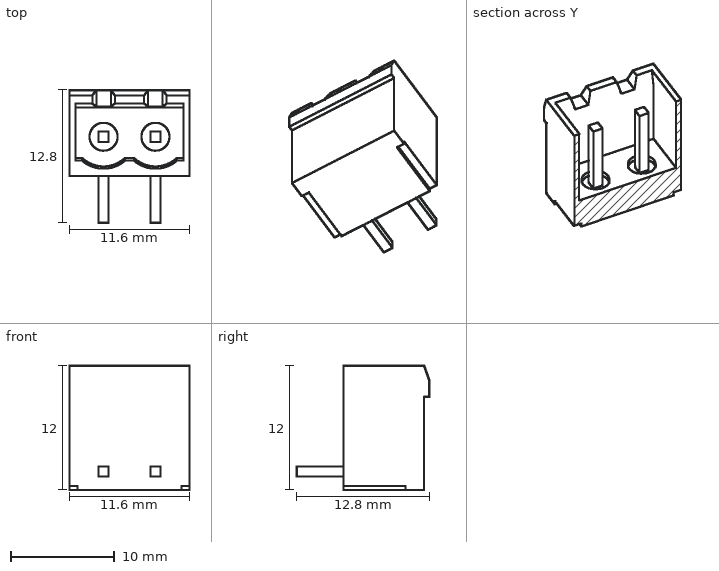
import cadquery as cq
import math


pitch = 5.0
contact_count = 2
end_margin = 3.3
pin_width = 1.0
pin_tail_length = 4.5
pin_tail_z = 1.8
pin_axis_y = 3.8
pin_tip_z = 10.3

housing_length = (contact_count - 1) * pitch + 2 * end_margin
housing_depth = 7.8
housing_height = 12.0

ledge_projection = 0.5
ledge_height = 3.0
ledge_chamfer_height = 1.4

end_wall = 0.575
back_wall_at_rim = 0.8
back_lead_in = 0.36
lead_in_height = 1.65
front_wall_at_rim = 1.52
front_lead_in = 0.22
floor_z = 3.5
scallop_radius = 3.08

recess_radius = 1.35
recess_depth = 0.5

notch_depth = ledge_chamfer_height
notch_floor_width = 1.4
notch_rim_width = 2.16

slot_width = 0.8
slot_length = 6.0
slot_height = 0.4

contact_xs = [(i - (contact_count - 1) / 2) * pitch for i in range(contact_count)]
back_lip_y = housing_depth + ledge_projection
cavity_back_y = housing_depth - back_wall_at_rim - back_lead_in
cavity_half_length = housing_length / 2 - end_wall


def prism_along_x(points, length):
    """Extrude a (y, z) outline to a length centred on X = 0."""
    return cq.Workplane("YZ").polyline(points).close().extrude(length / 2, both=True)


def box_between(x_range, y_range, z_range):
    """Box from its limits on each axis."""
    (x0, x1), (y0, y1), (z0, z1) = x_range, y_range, z_range
    return cq.Workplane("XY").box(x1 - x0, y1 - y0, z1 - z0, centered=False).translate((x0, y0, z0))


def housing_block():
    """Block with the latching ledge overhanging the back face."""
    ledge_z = housing_height - ledge_height
    return prism_along_x(
        [
            (0, 0),
            (0, housing_height),
            (housing_depth, housing_height),
            (back_lip_y, housing_height - ledge_chamfer_height),
            (back_lip_y, ledge_z),
            (housing_depth, ledge_z),
            (housing_depth, 0),
        ],
        housing_length,
    )


def cavity_outline(work, front_inset):
    """Cavity section: straight on three sides, a round scallop in the front side at each contact."""
    front_y = front_wall_at_rim + front_inset
    scallop_bottom_y = pin_axis_y - scallop_radius + front_inset
    scallop_half_chord = math.sqrt(scallop_radius**2 - (pin_axis_y - front_wall_at_rim) ** 2)
    outline = work.moveTo(-cavity_half_length, cavity_back_y).lineTo(-cavity_half_length, front_y)
    for x in contact_xs:
        outline = outline.lineTo(x - scallop_half_chord, front_y)
        outline = outline.threePointArc((x, scallop_bottom_y), (x + scallop_half_chord, front_y))
    return outline.lineTo(cavity_half_length, front_y).lineTo(cavity_half_length, cavity_back_y).close()


def plug_cavity():
    """Cavity with upright walls below sloped lead-ins at the front and back."""
    lead_in_z = housing_height - lead_in_height
    lower = cavity_outline(cq.Workplane("XY", origin=(0, 0, floor_z)), front_lead_in)
    lower = lower.extrude(lead_in_z - floor_z)
    upper = cavity_outline(cq.Workplane("XY", origin=(0, 0, lead_in_z)), front_lead_in)
    upper = cavity_outline(upper.workplane(offset=lead_in_height), 0).loft(ruled=True)
    back_slope = prism_along_x(
        [
            (pin_axis_y, housing_height),
            (cavity_back_y + back_lead_in, housing_height),
            (cavity_back_y, lead_in_z),
            (pin_axis_y, lead_in_z),
        ],
        2 * cavity_half_length,
    )
    return lower.union(upper).union(back_slope)


def keying_notch(x):
    """Trapezoidal notch through the back wall, wider at the rim."""
    notch_floor_z = housing_height - notch_depth
    return (
        cq.Workplane("XZ", origin=(x, back_lip_y, 0))
        .polyline(
            [
                (-notch_floor_width / 2, notch_floor_z),
                (notch_floor_width / 2, notch_floor_z),
                (notch_rim_width / 2, housing_height),
                (-notch_rim_width / 2, housing_height),
            ]
        )
        .close()
        .extrude(back_lip_y - pin_axis_y)
    )


def pin_recess(x):
    """Round recess in the cavity floor around a pin."""
    return (
        cq.Workplane("XY", origin=(x, pin_axis_y, floor_z - recess_depth))
        .circle(recess_radius)
        .extrude(recess_depth)
    )


def end_slot(side):
    """Slot under one end (side is -1 or 1), open to the front."""
    outer_x = side * housing_length / 2
    inner_x = outer_x - side * slot_width
    return box_between(sorted((inner_x, outer_x)), (0, slot_length), (0, slot_height))


def contact_pin(x):
    """Square pin bent at a right angle: upright in the cavity, tail out of the front."""
    half = pin_width / 2
    x_range = (x - half, x + half)
    tail_z_range = (pin_tail_z - half, pin_tail_z + half)
    tail = box_between(x_range, (-pin_tail_length, pin_axis_y + half), tail_z_range)
    upright = box_between(x_range, (pin_axis_y - half, pin_axis_y + half), (pin_tail_z - half, pin_tip_z))
    return tail.union(upright)


result = housing_block().cut(plug_cavity())
for contact_x in contact_xs:
    result = result.cut(keying_notch(contact_x)).cut(pin_recess(contact_x))
for end in (-1, 1):
    result = result.cut(end_slot(end))
for contact_x in contact_xs:
    result = result.union(contact_pin(contact_x))